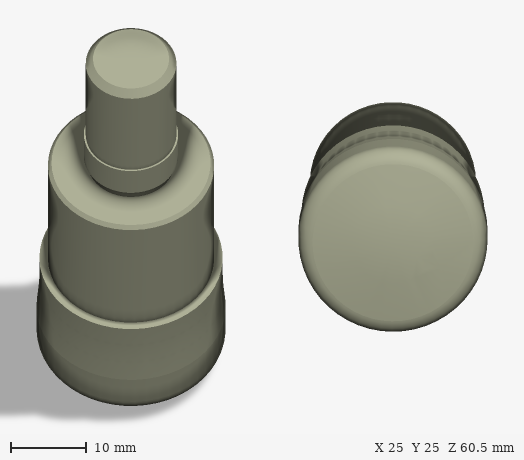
import cadquery as cq
import math

total_height = 60.55
collar_top = 44.6
collar_bottom = 40.0
barrel_top = 38.55
cap_top = 18.6
cap_band_top = 8.35

stud_diameter = 12.0
collar_diameter = 12.5
neck_diameter = 11.5
barrel_diameter = 22.0
cap_diameter = 25.0
cap_rim_diameter = 24.2
cap_skirt_middle_diameter = 24.3

stud_chamfer = 0.95
barrel_chamfer = 0.5
dome_radius = 43.6
corner_radius = 2.5


def cylinder(diameter, bottom, top):
    """Upright cylinder on the Z axis between two heights."""
    return cq.Workplane("XY").workplane(offset=bottom).circle(diameter / 2).extrude(top - bottom)


def make_plunger():
    """Chamfered barrel carrying a necked stud with a collar."""
    barrel = cylinder(barrel_diameter, cap_top, barrel_top).faces(">Z").chamfer(barrel_chamfer)
    neck = cylinder(neck_diameter, barrel_top, collar_bottom)
    collar = cylinder(collar_diameter, collar_bottom, collar_top)
    stud = cylinder(stud_diameter, collar_top, total_height).faces(">Z").chamfer(stud_chamfer)
    return barrel.union(neck).union(collar).union(stud)


def make_cap():
    """Revolved cap with a domed base, a straight band and a concave flared skirt."""
    band_radius = cap_diameter / 2
    rim_radius = cap_rim_diameter / 2

    corner_center_x = band_radius - corner_radius
    center_distance = dome_radius - corner_radius
    corner_center_z = dome_radius - math.sqrt(center_distance**2 - corner_center_x**2)
    dome_edge_angle = math.asin(corner_center_x / center_distance)
    dome_edge = (
        dome_radius * math.sin(dome_edge_angle),
        dome_radius * (1 - math.cos(dome_edge_angle)),
    )
    dome_middle = (
        dome_radius * math.sin(dome_edge_angle / 2),
        dome_radius * (1 - math.cos(dome_edge_angle / 2)),
    )

    skirt_middle = (cap_skirt_middle_diameter / 2, (cap_top + cap_band_top) / 2)
    return (
        cq.Workplane("XZ")
        .moveTo(0, cap_top)
        .lineTo(rim_radius, cap_top)
        .threePointArc(skirt_middle, (band_radius, cap_band_top))
        .lineTo(band_radius, corner_center_z)
        .tangentArcPoint(dome_edge, relative=False)
        .threePointArc(dome_middle, (0, 0))
        .close()
        .revolve(360, (0, 0, 0), (0, 1, 0))
    )


plunger = make_plunger()
cap = make_cap()
result = cq.Compound.makeCompound([plunger.val(), cap.val()])